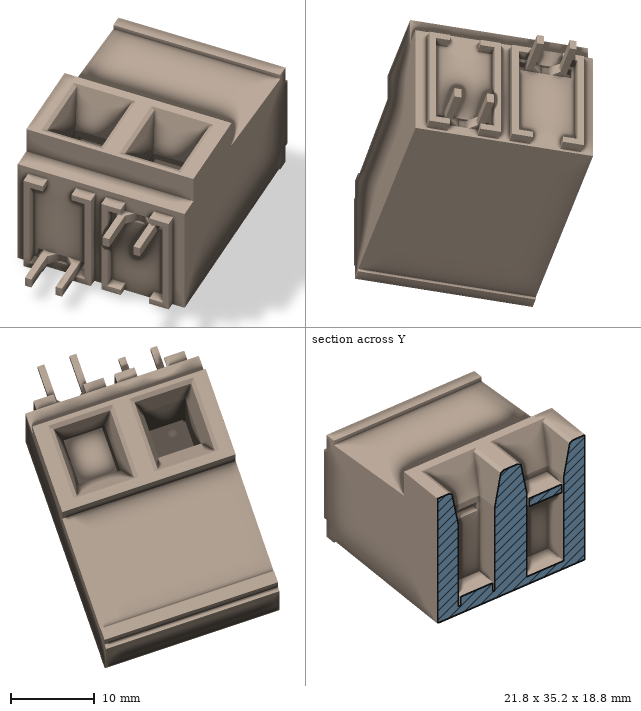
import cadquery as cq


width = 21.82
length = 35.2
height = 18.8

pole_pitch = 10.17
first_pole_x = 5.77
pole_centers = [first_pole_x, first_pole_x + pole_pitch]

front_y = 5.45
bottom_z = 0.35
shoulder_z = 15.28
tower_front_y = 8.0
tower_back_y = 19.05
slope_end_z = 14.4
ridge_top_z = 15.03
ridge_width = 1.48
rear_pad_depth = 0.55
rear_pad_bottom_z = 2.5
rear_pad_height = 10.03
ridge_back_y = length - rear_pad_depth
ridge_front_y = ridge_back_y - ridge_width

guide_width = 8.8
guide_height = 13.6
guide_wall = 0.8
guide_gap = 3.73
guide_depth = 1.37
guide_bottom_z = 0.67

mouth_width = 8.13
mouth_front_y = 8.52
mouth_back_y = 17.88
mouth_chamfer = 0.5
mouth_chamfer_front = 0.55
mouth_depth = 0.28
funnel_depth = 4.95
shaft_width = 5.35
shaft_front_y = 9.55
shaft_back_y = 15.4

pin_width = 0.85
pin_thickness = 1.25
contact_offset_x = 0.053
contact_width = 4.85
contact_front_y = 5.8
pin_bevel = 1.2
low_contact_z = 1.6
contact_pitch_z = 10.15
high_contact_z = low_contact_z + contact_pitch_z
low_contact_back_y = 15.15

slot_width = 6.4
slot_depth = 1.0
window_depth = 1.0


def box(x_center, y_start, z_start, x_size, y_size, z_size):
    """Box centred in X, starting at the given Y and Z."""
    block = cq.Workplane("XY").box(x_size, y_size, z_size, centered=(True, False, False))
    return block.translate((x_center, y_start, z_start))


def make_housing():
    profile = [
        (front_y, bottom_z),
        (front_y, shoulder_z),
        (tower_front_y, shoulder_z),
        (tower_front_y, height),
        (tower_back_y, height),
        (tower_back_y, shoulder_z),
        (ridge_front_y, slope_end_z),
        (ridge_front_y, ridge_top_z),
        (ridge_back_y, ridge_top_z),
        (ridge_back_y, 0),
        (ridge_front_y, 0),
        (ridge_front_y, bottom_z),
    ]
    body = cq.Workplane("YZ").polyline(profile).close().extrude(width)
    rear_pad = box(width / 2, ridge_back_y, rear_pad_bottom_z, width, rear_pad_depth, rear_pad_height)
    return body.union(rear_pad)


def make_guides(x_center):
    """Pair of facing C-shaped rails."""
    start_y = front_y - guide_depth
    outer = box(x_center, start_y, guide_bottom_z, guide_width, guide_depth, guide_height)
    inner = box(
        x_center, start_y, guide_bottom_z + guide_wall,
        guide_width - 2 * guide_wall, guide_depth, guide_height - 2 * guide_wall,
    )
    gap = box(x_center, start_y, guide_bottom_z, guide_gap, guide_depth, guide_height)
    return outer.cut(inner).cut(gap)


def taper(x_center, top, bottom):
    """Rectangular taper; each end is (z, width, front y, back y)."""
    top_z, top_width, top_front, top_back = top
    bottom_z, bottom_width, bottom_front, bottom_back = bottom
    top_middle = (top_front + top_back) / 2
    bottom_middle = (bottom_front + bottom_back) / 2
    return (
        cq.Workplane("XY", origin=(x_center, top_middle, top_z))
        .rect(top_width, top_back - top_front)
        .workplane(offset=bottom_z - top_z)
        .center(0, bottom_middle - top_middle)
        .rect(bottom_width, bottom_back - bottom_front)
        .loft(ruled=True)
    )


def make_wire_entry(x_center):
    """Cavity for the wire; the rear wall of mouth and funnel is one sloping plane."""
    rear_slope = (mouth_back_y - shaft_back_y) / funnel_depth
    mouth_top = (height, mouth_width, mouth_front_y, mouth_back_y)
    mouth_bottom = (
        height - mouth_depth,
        mouth_width - 2 * mouth_chamfer,
        mouth_front_y + mouth_chamfer_front,
        mouth_back_y - rear_slope * mouth_depth,
    )
    funnel_bottom_z = height - funnel_depth
    funnel_bottom = (funnel_bottom_z, shaft_width, shaft_front_y, shaft_back_y)
    shaft = box(
        x_center, shaft_front_y, low_contact_z,
        shaft_width, shaft_back_y - shaft_front_y, funnel_bottom_z - low_contact_z,
    )
    window = box(
        x_center + contact_offset_x, shaft_back_y, high_contact_z,
        contact_width, window_depth, pin_thickness,
    )
    mouth = taper(x_center, mouth_top, mouth_bottom)
    funnel = taper(x_center, mouth_bottom, funnel_bottom)
    return mouth.union(funnel).union(shaft).union(window)


def make_contact_slot(x_center, z_start):
    return box(x_center, front_y, z_start, slot_width, slot_depth, pin_thickness)


def make_contact(x_center, z_start, back_y):
    """Flat fork: a plate with two pins and bevels in the inner corners."""
    half_outer = contact_width / 2
    half_inner = half_outer - pin_width
    half_root = half_inner - pin_bevel
    bevel_y = contact_front_y - pin_bevel
    outline = [
        (-half_outer, 0),
        (-half_inner, 0),
        (-half_inner, bevel_y),
        (-half_root, contact_front_y),
        (half_root, contact_front_y),
        (half_inner, bevel_y),
        (half_inner, 0),
        (half_outer, 0),
        (half_outer, back_y),
        (-half_outer, back_y),
    ]
    fork = cq.Workplane("XY").polyline(outline).close().extrude(pin_thickness)
    return fork.translate((x_center, 0, z_start))


contact_levels = [low_contact_z, high_contact_z]
contact_backs = [low_contact_back_y, shaft_back_y + window_depth]

result = make_housing()
for pole_x, contact_z, contact_back in zip(pole_centers, contact_levels, contact_backs):
    contact_x = pole_x + contact_offset_x
    result = result.union(make_guides(pole_x))
    result = result.cut(make_wire_entry(pole_x))
    result = result.cut(make_contact_slot(contact_x, contact_z))
    result = result.union(make_contact(contact_x, contact_z, contact_back))